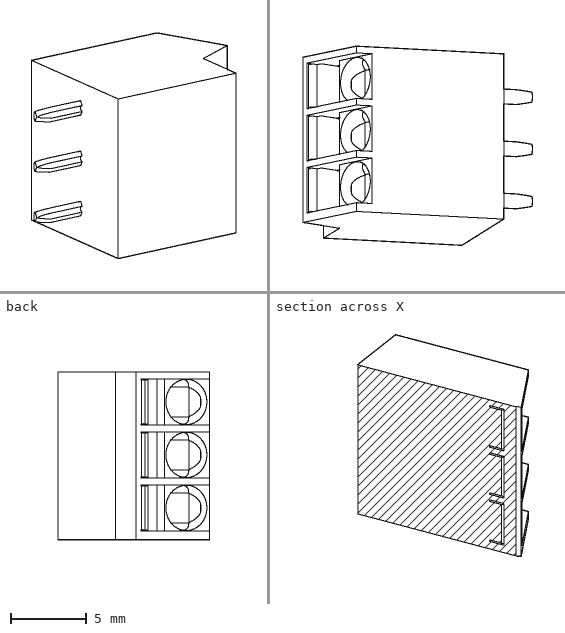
import cadquery as cq
import math


WIDTH = 10.0
HEIGHT = 11.1
PEAK_X = 4.87
PEAK_Y = 12.4
SHOULDER_Y = 9.51
SLOPE_ANGLE = 25

POLES = 3
PITCH = 3.5
FIRST_CELL_Z = 2.11
FIRST_PIN_Z = 2.32

CELL_WIDTH = 3.05
LEDGE_V = -0.99
LEDGE_END_U = 2.81
POCKET_END_U = 4.96
POCKET_FLOOR_V = -2.15
OVERCUT = 0.8

LEVER_WIDTH = 2.9
LEVER_FRONT_U = 4.17
LEVER_STEP_U = 4.6
LEVER_BACK_U = 4.9
LEVER_STEP_V = -0.57
LEVER_TOP_V = -0.1
LEVER_RADIUS = 0.15
LEVER_ROOT = 0.16

ENTRY_U = 1.22
ENTRY_RADIUS = 1.5
ENTRY_DEPTH = 0.92
FUNNEL_DEPTH = 0.8
FUNNEL_FLAT_OFFSET = 1.46
FUNNEL_FLAT_TAPER = 31
FUNNEL_CONE_TAPER = 8

PIN_LENGTH = 3.5
PIN_BACK_X = 5.3
PIN_BEND_RADIUS = 0.5
PIN_THICKNESS = 0.35
PIN_HALF_BEND = 60
PIN_STRAIGHT = 0.16
PIN_TAPER_LENGTH = 1.0
PIN_TAPER_DEPTH = 0.3

slope = math.radians(SLOPE_ANGLE)
left_y = PEAK_Y - PEAK_X * math.tan(slope)
valley_x = PEAK_X + (PEAK_Y - SHOULDER_Y) * math.tan(slope)
up_slope = (math.cos(slope), math.sin(slope), 0)
into_slope = (math.sin(slope), -math.cos(slope), 0)


def slope_profile_plane(z):
    """Plane across the slope at height z, with local axes U and V."""
    return cq.Workplane(cq.Plane((0, left_y, z), up_slope, (0, 0, 1)))


def make_housing():
    outline = [
        (0, 0),
        (WIDTH, 0),
        (WIDTH, SHOULDER_Y),
        (valley_x, SHOULDER_Y),
        (PEAK_X, PEAK_Y),
        (0, left_y),
    ]
    return cq.Workplane("XY").polyline(outline).close().extrude(HEIGHT)


def make_recess(z):
    """Ledge open to the left side, followed by the deeper lever pocket."""
    outline = [
        (-OVERCUT, LEDGE_V),
        (LEDGE_END_U, LEDGE_V),
        (LEDGE_END_U, POCKET_FLOOR_V),
        (POCKET_END_U, POCKET_FLOOR_V),
        (POCKET_END_U, OVERCUT),
        (-OVERCUT, OVERCUT),
    ]
    return slope_profile_plane(z).polyline(outline).close().extrude(CELL_WIDTH / 2, both=True)


def make_lever(z):
    """Two-step block with both outer step edges rounded, sunk slightly into the pocket floor."""
    r = LEVER_RADIUS
    foot_v = POCKET_FLOOR_V - LEVER_ROOT
    return (
        slope_profile_plane(z)
        .moveTo(LEVER_FRONT_U, foot_v)
        .lineTo(LEVER_FRONT_U, LEVER_STEP_V - r)
        .radiusArc((LEVER_FRONT_U + r, LEVER_STEP_V), r)
        .lineTo(LEVER_STEP_U, LEVER_STEP_V)
        .lineTo(LEVER_STEP_U, LEVER_TOP_V - r)
        .radiusArc((LEVER_STEP_U + r, LEVER_TOP_V), r)
        .lineTo(LEVER_BACK_U, LEVER_TOP_V)
        .lineTo(LEVER_BACK_U, foot_v)
        .close()
        .extrude(LEVER_WIDTH / 2, both=True)
    )


def make_wire_entry(z):
    """Bore square to the ledge; below it a slight cone limited by four steeper flats."""
    ledge = cq.Workplane(cq.Plane((0, left_y, z), up_slope, into_slope))
    ledge = ledge.center(ENTRY_U, 0).workplane(offset=-LEDGE_V)
    bore = ledge.circle(ENTRY_RADIUS).extrude(ENTRY_DEPTH)
    funnel_top = ledge.workplane(offset=ENTRY_DEPTH)
    cone = funnel_top.circle(ENTRY_RADIUS).extrude(FUNNEL_DEPTH, taper=FUNNEL_CONE_TAPER)
    side = 2 * FUNNEL_FLAT_OFFSET
    flats = funnel_top.rect(side, side).extrude(FUNNEL_DEPTH, taper=FUNNEL_FLAT_TAPER)
    return bore.union(cone.intersect(flats))


def make_pin(z):
    """Bent strip whose two straight ends narrow towards the tip."""
    bend_center = (PIN_BACK_X + PIN_BEND_RADIUS, 0, z)
    outer_radius = PIN_BEND_RADIUS
    inner_radius = PIN_BEND_RADIUS - PIN_THICKNESS
    sin_bend = math.sin(math.radians(PIN_HALF_BEND))
    cos_bend = math.cos(math.radians(PIN_HALF_BEND))

    def upper_bend_end(radius):
        return (-radius * cos_bend, radius * sin_bend)

    def upper_tip(radius):
        bend_x, bend_z = upper_bend_end(radius)
        return (bend_x + PIN_STRAIGHT * sin_bend, bend_z + PIN_STRAIGHT * cos_bend)

    def mirrored(point):
        return (point[0], -point[1])

    strip = (
        cq.Workplane(cq.Plane(bend_center, (1, 0, 0), (0, -1, 0)))
        .moveTo(*upper_tip(outer_radius))
        .lineTo(*upper_bend_end(outer_radius))
        .threePointArc((-outer_radius, 0), mirrored(upper_bend_end(outer_radius)))
        .lineTo(*mirrored(upper_tip(outer_radius)))
        .lineTo(*mirrored(upper_tip(inner_radius)))
        .lineTo(*mirrored(upper_bend_end(inner_radius)))
        .threePointArc((-inner_radius, 0), upper_bend_end(inner_radius))
        .lineTo(*upper_tip(inner_radius))
        .close()
        .extrude(PIN_LENGTH)
    )

    along_straight = (sin_bend, 0, cos_bend)
    outward = (-cos_bend, 0, sin_bend)
    taper_wedge = (
        cq.Workplane(cq.Plane(bend_center, along_straight, outward))
        .polyline([
            (PIN_STRAIGHT, PIN_TAPER_LENGTH - PIN_LENGTH),
            (PIN_STRAIGHT - PIN_TAPER_DEPTH, -PIN_LENGTH),
            (PIN_STRAIGHT, -PIN_LENGTH),
        ])
        .close()
        .extrude(2 * PIN_BEND_RADIUS)
    )
    return strip.cut(taper_wedge).cut(taper_wedge.mirror("XY", (0, 0, z)))


result = make_housing()
for pole in range(POLES):
    cell_z = FIRST_CELL_Z + pole * PITCH
    result = result.cut(make_recess(cell_z)).cut(make_wire_entry(cell_z)).union(make_lever(cell_z))
    result = result.union(make_pin(FIRST_PIN_Z + pole * PITCH))